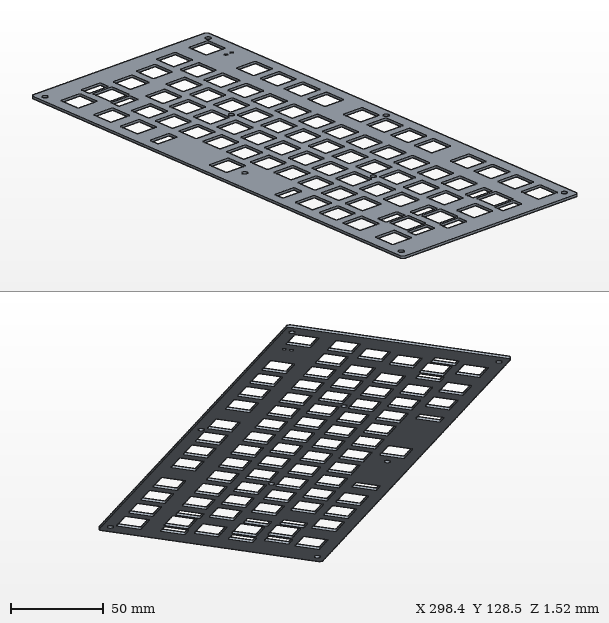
import cadquery as cq

plate_width = 298.4
plate_depth = 128.5
plate_thickness = 1.52
plate_corner_radius = 2.0

field_width = 285.8
cells_across = 15
row_count = 6
function_row_gap = 0.25
cells_deep = row_count + function_row_gap
key_pitch = field_width / cells_across
field_depth = cells_deep * key_pitch

switch_web = 5.0
switch_size = key_pitch - switch_web
stabilizer_width = 6.5
stabilizer_height = switch_size
stabilizer_drop = 1.0
cutout_corner_radius = 0.5

wide_key_reach = 12.0
space_bar_reach = 50.0

screw_diameter = 3.3
indicator_diameter = 2.0
inner_screw_x = 57.0
inner_screw_y = -1.8
indicator_x = -119.5
indicator_ys = [55.5, 51.3]
space_screw_x = 7.0

function_row = (cells_deep - 1) / 2
number_row = function_row - 1 - function_row_gap
upper_row = number_row - 1
home_row = upper_row - 1
lower_row = home_row - 1
bottom_row = lower_row - 1

backspace = 6.5
enter = 6.375
left_shift = -6.375
right_shift = 6.125
space_bar = -0.375


def key_run(first, count):
    """Columns of neighbouring keys, one key pitch apart."""
    return [first + step for step in range(count)]


key_rows = {
    function_row: [-7] + key_run(-5, 4) + key_run(-0.5, 4) + key_run(4, 4),
    number_row: key_run(-7, 13) + [backspace],
    upper_row: [-6.75] + key_run(-5.5, 12) + [6.75],
    home_row: [-6.625] + key_run(-5.25, 11) + [enter],
    lower_row: [left_shift] + key_run(-4.75, 10) + [right_shift],
    bottom_row: [-6.625, -5.25, -4.125, space_bar] + key_run(3.25, 3) + [6.625],
}

stabilized_keys = [
    (backspace, number_row, wide_key_reach),
    (enter, home_row, wide_key_reach),
    (left_shift, lower_row, wide_key_reach),
    (right_shift, lower_row, wide_key_reach),
    (space_bar, bottom_row, space_bar_reach),
]


def rounded_blocks(centers, width, height, radius):
    """Plate-thick blocks with rounded vertical edges, one at each centre."""
    return (
        cq.Workplane("XY")
        .pushPoints(centers)
        .rect(width, height)
        .extrude(plate_thickness)
        .edges("|Z")
        .fillet(radius)
    )


def round_pins(centers, diameter):
    """Plate-thick cylinders, one at each centre."""
    return cq.Workplane("XY").pushPoints(centers).circle(diameter / 2).extrude(plate_thickness)


switch_centers = [
    (column * key_pitch, row * key_pitch)
    for row, columns in key_rows.items()
    for column in columns
]

stabilizer_centers = [
    (column * key_pitch + side * reach, row * key_pitch - stabilizer_drop)
    for column, row, reach in stabilized_keys
    for side in (-1, 1)
]

corner_screws = [
    (side_x * field_width / 2, side_y * field_depth / 2)
    for side_x in (-1, 1)
    for side_y in (-1, 1)
]
inner_screws = [(side * inner_screw_x, inner_screw_y) for side in (-1, 1)]
back_screw = (0, field_depth / 2)
space_screw = (space_screw_x, bottom_row * key_pitch)
screw_centers = corner_screws + inner_screws + [back_screw, space_screw]

indicator_centers = [(indicator_x, y) for y in indicator_ys]

plate = rounded_blocks([(0, 0)], plate_width, plate_depth, plate_corner_radius)
result = (
    plate
    .cut(rounded_blocks(switch_centers, switch_size, switch_size, cutout_corner_radius))
    .cut(rounded_blocks(stabilizer_centers, stabilizer_width, stabilizer_height, cutout_corner_radius))
    .cut(round_pins(screw_centers, screw_diameter))
    .cut(round_pins(indicator_centers, indicator_diameter))
)